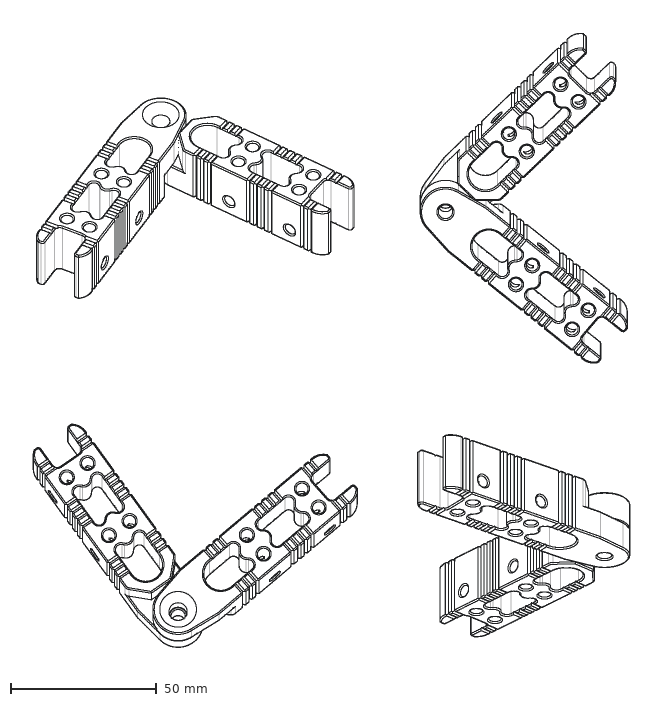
import cadquery as cq
import math


width = 20.7
half_width = width / 2
arm_height = 20.75
assembly_height = 21.0
edge_chamfer = 0.5
hinge_angle = 5.6

second_arm_z = assembly_height - arm_height
lower_lug_height = arm_height / 2
lug_gap = 0.2
upper_lug_z = second_arm_z + lower_lug_height + lug_gap

lug_radius = 8.7
lug_shoulder_y = -9.6
lug_root_y = -20.0
screw_clearance_diameter = 6.2
screw_thread_diameter = 4.92
countersink_diameter = 12.6
countersink_angle = 90.0

end_face_y = -10.0
end_corner_y = -16.15
end_face_half_width = half_width - (end_face_y - end_corner_y)
end_corner_radius = 2.2

hole_rows_y = (-35.0, -60.0)
hole_spacing = 8.74
vertical_hole_diameter = 4.2
side_hole_diameter = 4.13
side_hole_z = 6.25
side_slot_width = 3.3

window_half_width = 5.8
lobe_radius = 1.95
lobe_x = window_half_width - lobe_radius
lobe_to_hole_row = 4.6
bump_height = 1.95
flank_run = (lobe_x - bump_height) / (math.sqrt(2) - 1)
bump_radius = flank_run - lobe_radius
round_end_y = -13.5

fork_floor_y = -64.5
fork_corner_radius = lobe_radius
tip_y = -74.5
tip_curve_y = -69.6
tip_outer_x = 7.85
tip_inner_radius = 1.0

groove_half_width = 0.75
groove_depth = 0.75
groove_inner_x = 4.8
groove_pitch = 3.0
groove_groups = ((-21.0, 3), (-43.0, 4), (-65.3, 2))
grooves_y = [first - i * groove_pitch for first, count in groove_groups for i in range(count)]


def arm_blank():
    """Full-height arm with its angled hinge end and its fork, before windows and holes."""
    outline = (
        cq.Workplane("XY")
        .moveTo(-end_face_half_width, end_face_y)
        .lineTo(end_face_half_width, end_face_y)
        .lineTo(half_width, end_corner_y)
        .lineTo(half_width, tip_curve_y)
        .threePointArc(tip_curve_middle(1), (tip_outer_x, tip_y))
        .lineTo(window_half_width, tip_y)
        .lineTo(window_half_width, fork_floor_y)
        .lineTo(-window_half_width, fork_floor_y)
        .lineTo(-window_half_width, tip_y)
        .lineTo(-tip_outer_x, tip_y)
        .threePointArc(tip_curve_middle(-1), (-half_width, tip_curve_y))
        .lineTo(-half_width, end_corner_y)
        .close()
    )
    blank = outline.extrude(arm_height)
    blank = round_corners(blank, half_width, end_corner_y, end_corner_radius)
    blank = round_corners(blank, window_half_width, fork_floor_y, fork_corner_radius)
    return round_corners(blank, window_half_width, tip_y, tip_inner_radius)


def round_corners(blank, x, y, radius):
    """Round the two vertical corners at X = +-x and the given Y."""
    near = 0.1
    corners = cq.selectors.BoxSelector(
        (-x - near, y - near, 0),
        (x + near, y + near, arm_height),
    )
    return blank.edges("|Z").edges(corners).fillet(radius)


def tip_curve_middle(side):
    """Middle of the tip curve, an arc that leaves the leg's outer side tangentially."""
    run = tip_curve_y - tip_y
    inset = half_width - tip_outer_x
    radius = (run**2 + inset**2) / (2 * inset)
    half_sweep = math.asin(run / radius) / 2
    x = half_width - radius * (1 - math.cos(half_sweep))
    return (side * x, tip_curve_y - radius * math.sin(half_sweep))


def lug(bottom_z, top_z, hole_diameter):
    """Hinge lug: a round end that tapers out to the arm's width, with the pivot hole."""
    shoulder_angle = math.atan2(lug_shoulder_y, half_width)
    shoulder_distance = math.hypot(half_width, lug_shoulder_y)
    tangent_angle = shoulder_angle + math.acos(lug_radius / shoulder_distance)
    tangent_x = lug_radius * math.cos(tangent_angle)
    tangent_y = lug_radius * math.sin(tangent_angle)
    return (
        cq.Workplane("XY")
        .workplane(offset=bottom_z)
        .moveTo(half_width, lug_root_y)
        .lineTo(half_width, lug_shoulder_y)
        .lineTo(tangent_x, tangent_y)
        .threePointArc((0, lug_radius), (-tangent_x, tangent_y))
        .lineTo(-half_width, lug_shoulder_y)
        .lineTo(-half_width, lug_root_y)
        .close()
        .moveTo(0, 0)
        .circle(hole_diameter / 2)
        .extrude(top_z - bottom_z)
    )


def wavy_end(path, lobe_end_y, toward, side):
    """Continue a window outline across a wavy end, from X = side * half width to the other side.

    toward is +1 for an end on the +Y side of its window and -1 for one on the -Y side.
    """
    diagonal = math.sqrt(0.5)
    lobe_y = lobe_end_y - toward * lobe_radius
    bump_y = lobe_end_y - toward * bump_height
    bump_centre_y = bump_y + toward * bump_radius
    flank_lobe = (lobe_x - lobe_radius * diagonal, lobe_y + toward * lobe_radius * diagonal)
    flank_bump = (bump_radius * diagonal, bump_centre_y - toward * bump_radius * diagonal)
    return (
        path.lineTo(side * window_half_width, lobe_y)
        .threePointArc((side * lobe_x, lobe_end_y), (side * flank_lobe[0], flank_lobe[1]))
        .lineTo(side * flank_bump[0], flank_bump[1])
        .threePointArc((0, bump_y), (-side * flank_bump[0], flank_bump[1]))
        .lineTo(-side * flank_lobe[0], flank_lobe[1])
        .threePointArc((-side * lobe_x, lobe_end_y), (-side * window_half_width, lobe_y))
    )


def windows():
    """The two windows through the arm: one round-ended by the hinge, one wavy at both ends."""
    first_row, second_row = hole_rows_y
    round_centre_y = round_end_y - window_half_width
    hinge_window = (
        cq.Workplane("XY")
        .moveTo(-window_half_width, round_centre_y)
        .threePointArc((0, round_end_y), (window_half_width, round_centre_y))
    )
    hinge_window = wavy_end(hinge_window, first_row + lobe_to_hole_row, -1, 1)
    middle_window = cq.Workplane("XY").moveTo(-window_half_width, (first_row + second_row) / 2)
    middle_window = wavy_end(middle_window, first_row - lobe_to_hole_row, 1, -1)
    middle_window = wavy_end(middle_window, second_row + lobe_to_hole_row, -1, 1)
    return hinge_window.close().extrude(arm_height).add(middle_window.close().extrude(arm_height))


def vertical_holes():
    """Pairs of holes through the arm from top to bottom."""
    centres = [(side * hole_spacing / 2, y) for y in hole_rows_y for side in (-1, 1)]
    return cq.Workplane("XY").pushPoints(centres).circle(vertical_hole_diameter / 2).extrude(arm_height)


def side_hole(y):
    """Hole across the arm, chamfered at both sides and flat-sided between the vertical holes."""
    radius = side_hole_diameter / 2
    bore = cq.Workplane("YZ").center(y, side_hole_z).circle(radius).extrude(half_width, both=True)
    web = cq.Workplane("XY").box(hole_spacing, side_hole_diameter, side_hole_diameter)
    slot = cq.Workplane("XY").box(hole_spacing, side_slot_width, side_hole_diameter)
    hole = bore.cut(web.cut(slot).translate((0, y, side_hole_z)))
    for side in (-1, 1):
        mouth = cq.Solid.makeCone(
            radius + edge_chamfer,
            radius,
            edge_chamfer,
            pnt=cq.Vector(side * half_width, y, side_hole_z),
            dir=cq.Vector(-side, 0, 0),
        )
        hole = hole.union(cq.Workplane(mouth))
    return hole


def leg_groove(y, side):
    """V groove around the top, outer side and bottom of one leg."""
    groove = (
        cq.Workplane("XY")
        .moveTo(side * half_width, y - groove_half_width)
        .lineTo(side * (half_width - groove_depth), y)
        .lineTo(side * half_width, y + groove_half_width)
        .close()
        .extrude(arm_height)
    )
    groove_length = half_width - groove_inner_x
    for z, inward in ((0, 1), (arm_height, -1)):
        run = (
            cq.Workplane("YZ")
            .workplane(offset=side * groove_inner_x)
            .moveTo(y - groove_half_width, z)
            .lineTo(y, z + inward * groove_depth)
            .lineTo(y + groove_half_width, z)
            .close()
            .extrude(side * groove_length)
        )
        groove = groove.union(run)
    return groove


def finished_arm(hinge_lug):
    """Arm with its lug, windows, holes, chamfered outer edges and grooves."""
    arm = arm_blank().union(hinge_lug)
    for opening in windows().vals() + vertical_holes().vals():
        arm = arm.cut(cq.Workplane(opening))
    arm = arm.faces("<Z or >Z").edges().chamfer(edge_chamfer)
    for y in hole_rows_y:
        arm = arm.cut(side_hole(y))
    for y in grooves_y:
        for side in (-1, 1):
            arm = arm.cut(leg_groove(y, side))
    return arm


def countersunk_arm():
    """Arm with the upper lug, countersunk for the hinge screw."""
    arm = finished_arm(lug(upper_lug_z, arm_height, screw_clearance_diameter))
    depth = countersink_diameter / 2 / math.tan(math.radians(countersink_angle / 2))
    countersink = cq.Solid.makeCone(
        countersink_diameter / 2,
        0,
        depth,
        pnt=cq.Vector(0, 0, arm_height),
        dir=cq.Vector(0, 0, -1),
    )
    return arm.cut(cq.Workplane(countersink))


def threaded_arm():
    """Arm with the lower lug, whose upper edges and screw hole are chamfered."""
    lower_lug = lug(0, lower_lug_height, screw_thread_diameter)
    return finished_arm(lower_lug.faces(">Z").edges().chamfer(edge_chamfer))


first_arm = countersunk_arm()
second_arm = (
    threaded_arm()
    .rotate((0, 0, 0), (0, 0, 1), 90 - hinge_angle)
    .translate((0, 0, second_arm_z))
)

result = cq.Compound.makeCompound([first_arm.val(), second_arm.val()])